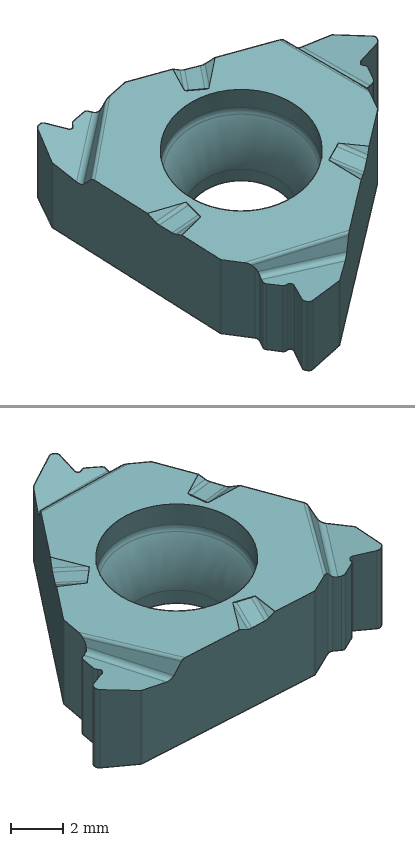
import cadquery as cq
import math

CORNERS = 3
CORNER_ANGLE = 360 / CORNERS
THICKNESS = 4.27
INSCRIBED_DIAMETER = 9.525
INSCRIBED_RADIUS = INSCRIBED_DIAMETER / 2
MARGIN = 1.0

LEADING_DISTANCE = 6.83
OUTLINE_WIDTH = 13.72
TIP_DISTANCE = OUTLINE_WIDTH - LEADING_DISTANCE
TRAILING_DISTANCE = 0.32
ROOT_DISTANCE = 5.93
ROOT_RISE_DISTANCE = 5.455
CREST_DISTANCE = 6.11
STEP_DISTANCE = 1.37
RELIEF_DISTANCE = 5.61

FLANK_ROUND = 0.15
TIP_ROUND = 0.2
ROOT_ROUND = 0.15
CREST_ROUND = 0.18
STEP_ROUND = 0.24

BORE_DIAMETER = 4.4
BORE_RADIUS = BORE_DIAMETER / 2
COUNTERBORE_RADIUS = 3.085
SEAT_DEPTH = 3.6
SEAT_RADIUS = 3.7
SEAT_FILLET = 0.45

RAKE_ANGLE = 10.0
GROOVE_TILT = 4.0
RAMP_ANGLE = 60.0
GROOVE_X = 5.81
GROOVE_DEPTH = 0.65
GROOVE_FILLET = 0.3
RAMP_TOP_ROUND = 0.18

POCKET_TURN = -13.2
POCKET_END = -3.26
POCKET_OFFSET = -1.32
POCKET_FLOOR_WIDTH = 0.82
POCKET_END_DEPTH = 0.03
POCKET_SLOPE = 8.5
POCKET_WALL_ANGLE = 28.0
POCKET_FILLET = 0.4


def line_crossing(first, second):
    """Crossing of two lines, each given as (normal angle, distance from origin)."""
    angle_a, distance_a = math.radians(first[0]), first[1]
    angle_b, distance_b = math.radians(second[0]), second[1]
    turn = math.sin(angle_b - angle_a)
    x = (distance_a * math.sin(angle_b) - distance_b * math.sin(angle_a)) / turn
    y = (distance_b * math.cos(angle_a) - distance_a * math.cos(angle_b)) / turn
    return cq.Vector(x, y)


def rounded_polygon(plane, corners):
    """Closed outline through (point, radius) corners; radius 0 keeps a corner sharp."""
    pieces = []
    for i, (point, radius) in enumerate(corners):
        if radius == 0:
            pieces.append([point])
            continue
        to_last = (corners[i - 1][0] - point).normalized()
        to_next = (corners[(i + 1) % len(corners)][0] - point).normalized()
        half_angle = to_last.getAngle(to_next) / 2
        setback = radius / math.tan(half_angle)
        middle_reach = radius / math.sin(half_angle) - radius
        middle = point + (to_last + to_next).normalized() * middle_reach
        pieces.append([point + to_last * setback, middle, point + to_next * setback])

    outline = plane.moveTo(*pieces[0][-1].toTuple()[:2])
    for piece in pieces[1:] + pieces[:1]:
        outline = outline.lineTo(*piece[0].toTuple()[:2])
        if len(piece) > 1:
            outline = outline.threePointArc(piece[1].toTuple()[:2], piece[2].toTuple()[:2])
    return outline.close()


def make_body():
    corner_sides = [
        (60, INSCRIBED_RADIUS, FLANK_ROUND),
        (30, LEADING_DISTANCE, TIP_ROUND),
        (-30, TIP_DISTANCE, TIP_ROUND),
        (-90, TRAILING_DISTANCE, ROOT_ROUND),
        (-30, ROOT_DISTANCE, ROOT_ROUND),
        (30, ROOT_RISE_DISTANCE, CREST_ROUND),
        (-30, CREST_DISTANCE, CREST_ROUND),
        (-90, STEP_DISTANCE, STEP_ROUND),
        (-30, RELIEF_DISTANCE, FLANK_ROUND),
    ]
    sides = []
    for corner in range(CORNERS):
        for angle, distance, rounding in corner_sides:
            sides.append((angle - corner * CORNER_ANGLE, distance, rounding))

    corners = []
    for i, side in enumerate(sides):
        next_side = sides[(i + 1) % len(sides)]
        corners.append((line_crossing(side, next_side), side[2]))
    return rounded_polygon(cq.Workplane("XY"), corners).extrude(THICKNESS)


def make_hole():
    seat_center_r = BORE_RADIUS + SEAT_RADIUS
    seat_center_z = THICKNESS - SEAT_DEPTH
    fillet_center_r = COUNTERBORE_RADIUS - SEAT_FILLET
    center_gap = SEAT_RADIUS + SEAT_FILLET
    seat_angle = math.acos((seat_center_r - fillet_center_r) / center_gap)
    fillet_center_z = seat_center_z + center_gap * math.sin(seat_angle)

    def seat_point(angle):
        return (seat_center_r - SEAT_RADIUS * math.cos(angle),
                seat_center_z + SEAT_RADIUS * math.sin(angle))

    def fillet_point(angle):
        return (fillet_center_r + SEAT_FILLET * math.cos(angle),
                fillet_center_z - SEAT_FILLET * math.sin(angle))

    top = THICKNESS + MARGIN
    return (
        cq.Workplane("XZ")
        .moveTo(0, -MARGIN)
        .lineTo(BORE_RADIUS, -MARGIN)
        .lineTo(BORE_RADIUS, seat_center_z)
        .threePointArc(seat_point(seat_angle / 2), seat_point(seat_angle))
        .threePointArc(fillet_point(seat_angle / 2), fillet_point(0))
        .lineTo(COUNTERBORE_RADIUS, top)
        .lineTo(0, top)
        .close()
        .revolve(360, (0, 0), (0, 1))
    )


def make_rake_groove():
    tilt = math.radians(GROOVE_TILT)
    rake = math.radians(RAKE_ANGLE)
    ramp = math.radians(RAMP_ANGLE)
    section = cq.Plane(
        origin=(GROOVE_X, 0, THICKNESS - GROOVE_DEPTH),
        xDir=(1, 0, 0),
        normal=(0, -math.cos(tilt), math.sin(tilt)),
    )
    height = GROOVE_DEPTH + MARGIN
    face_length = TIP_DISTANCE + 2 * MARGIN - GROOVE_X
    corners = [
        (cq.Vector(0, 0), GROOVE_FILLET),
        (cq.Vector(face_length, face_length * math.tan(rake)), 0),
        (cq.Vector(face_length, height), 0),
        (cq.Vector(-height / math.tan(ramp), height), 0),
    ]
    return rounded_polygon(cq.Workplane(section), corners).extrude(INSCRIBED_RADIUS, both=True)


def make_flank_pocket():
    slope = math.radians(POCKET_SLOPE)
    section = cq.Plane(
        origin=(POCKET_END, POCKET_OFFSET, THICKNESS - POCKET_END_DEPTH),
        xDir=(0, -1, 0),
        normal=(-math.cos(slope), 0, -math.sin(slope)),
    )
    half_floor = POCKET_FLOOR_WIDTH / 2
    half_top = half_floor + MARGIN / math.tan(math.radians(POCKET_WALL_ANGLE))
    corners = [
        (cq.Vector(-half_floor, 0), POCKET_FILLET),
        (cq.Vector(half_floor, 0), POCKET_FILLET),
        (cq.Vector(half_top, MARGIN), 0),
        (cq.Vector(-half_top, MARGIN), 0),
    ]
    pocket = rounded_polygon(cq.Workplane(section), corners).extrude(INSCRIBED_RADIUS)
    return pocket.rotate((0, 0, 0), (0, 0, 1), POCKET_TURN)


def cut_at_each_corner(body, cutter):
    for corner in range(CORNERS):
        body = body.cut(cutter.rotate((0, 0, 0), (0, 0, 1), corner * CORNER_ANGLE))
    return body


def round_ramp_tops(body):
    ramp_x = GROOVE_X - GROOVE_DEPTH / math.tan(math.radians(RAMP_ANGLE))
    for corner in range(CORNERS):
        angle = math.radians(corner * CORNER_ANGLE)
        near = (ramp_x * math.cos(angle), ramp_x * math.sin(angle), THICKNESS)
        body = body.edges(cq.selectors.NearestToPointSelector(near)).fillet(RAMP_TOP_ROUND)
    return body


result = make_body().cut(make_hole())
result = cut_at_each_corner(result, make_rake_groove())
result = round_ramp_tops(result)
result = cut_at_each_corner(result, make_flank_pocket())